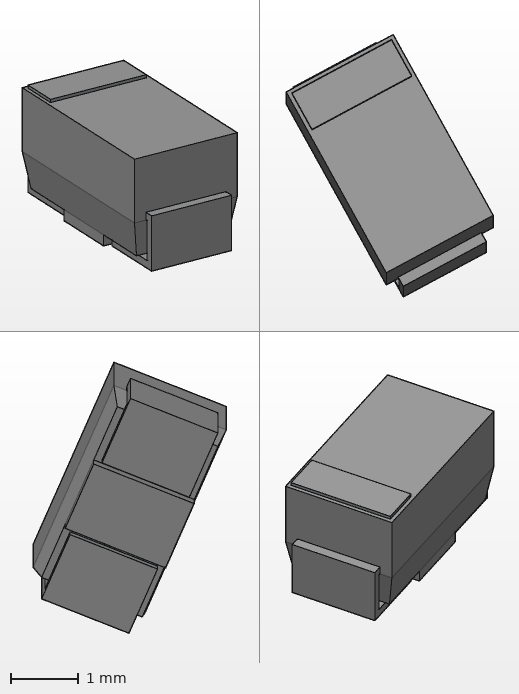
import cadquery as cq

total_length = 3.4
body_width = 1.8
total_height = 1.85

body_length = 3.087
taper_inset = 0.095
standoff_length = 1.09
standoff_height = 0.18
parting_height = 0.77

mark_length = 0.622
mark_thickness = 0.05
mark_margin = 0.06
mark_width = body_width - 2 * mark_margin

lead_width = 1.397
lead_thickness = 0.125
lead_foot_length = 1.09
lead_height = parting_height + lead_thickness

body_top = total_height - mark_thickness
bottom_length = body_length - 2 * taper_inset
bottom_width = body_width - 2 * taper_inset


def make_housing():
    """Moulded housing with its standoff, as one solid."""
    upper = (
        cq.Workplane("XY", origin=(0, 0, parting_height))
        .rect(body_length, body_width)
        .extrude(body_top - parting_height)
    )
    lower = (
        cq.Workplane("XY", origin=(0, 0, standoff_height))
        .rect(bottom_length, bottom_width)
        .workplane(offset=parting_height - standoff_height)
        .rect(body_length, body_width)
        .loft(combine=True)
    )
    standoff = cq.Workplane("XY").rect(standoff_length, bottom_width).extrude(standoff_height)
    return upper.union(lower).union(standoff)


def make_polarity_mark():
    """Thin raised plate near the -X end of the top face."""
    center_x = -body_length / 2 + mark_margin + mark_length / 2
    return (
        cq.Workplane("XY", origin=(center_x, 0, body_top))
        .rect(mark_length, mark_width)
        .extrude(mark_thickness)
    )


def make_lead(side):
    """C-shaped terminal at the -X (side = -1) or +X (side = 1) end."""
    outer_x = side * total_length / 2
    wall_x = side * (total_length / 2 - lead_thickness)
    body_end_x = side * body_length / 2
    foot_end_x = side * (total_length / 2 - lead_foot_length)
    profile = [
        (outer_x, 0),
        (outer_x, lead_height),
        (body_end_x, lead_height),
        (body_end_x, parting_height),
        (wall_x, parting_height),
        (wall_x, lead_thickness),
        (foot_end_x, lead_thickness),
        (foot_end_x, 0),
    ]
    return cq.Workplane("XZ").polyline(profile).close().extrude(lead_width / 2, both=True)


housing = make_housing()
polarity_mark = make_polarity_mark()
leads = [make_lead(side) for side in (-1, 1)]

result = cq.Compound.makeCompound(
    [housing.val(), polarity_mark.val(), *[lead.val() for lead in leads]]
)